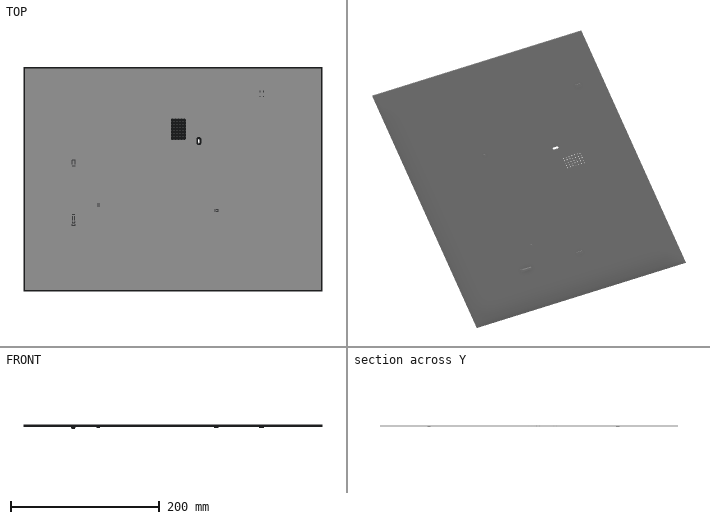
import cadquery as cq

PLATE_LENGTH = 400.0
PLATE_WIDTH = 300.0
PLATE_THICKNESS = 1.5
TOTAL_HEIGHT = 3.8

VENT_DIAMETER = 1.8
VENT_PITCH = 4.0
VENT_COLUMNS = 5
VENT_ROWS = 7
VENT_CENTER = (7.3, 67.1)

SLOT_WIDTH = 4.0
SLOT_LENGTH = 8.2
SLOT_CENTER = (34.7, 51.1)

LOW_HEIGHT = 1.0
MIDDLE_HEIGHT = 1.4
TALL_HEIGHT = TOTAL_HEIGHT - PLATE_THICKNESS

BLOCKS = [
    ((-134.0, -52.7), (2.8, 11.6), TALL_HEIGHT),
    ((-134.3, -59.5), (4.0, 5.0), LOW_HEIGHT),
    ((-134.3, 22.3), (4.0, 8.0), LOW_HEIGHT),
    ((-100.3, -34.2), (3.0, 2.4), LOW_HEIGHT),
    ((57.9, -41.7), (3.8, 2.4), MIDDLE_HEIGHT),
    ((119.0, 115.3), (4.8, 7.4), LOW_HEIGHT),
]


def make_plate():
    plate = cq.Workplane("XY").rect(PLATE_LENGTH, PLATE_WIDTH)
    return plate.extrude(-PLATE_THICKNESS)


def make_block(center, size, height):
    underside = cq.Workplane("XY").workplane(offset=-PLATE_THICKNESS)
    return underside.center(*center).rect(*size).extrude(-height)


def make_vents():
    grid = cq.Workplane("XY").center(*VENT_CENTER)
    grid = grid.rarray(VENT_PITCH, VENT_PITCH, VENT_COLUMNS, VENT_ROWS)
    return grid.circle(VENT_DIAMETER / 2).extrude(-PLATE_THICKNESS)


def make_slot():
    outline = cq.Workplane("XY").center(*SLOT_CENTER).slot2D(SLOT_LENGTH, SLOT_WIDTH, angle=90)
    return outline.extrude(-PLATE_THICKNESS)


body = make_plate()
for block_center, block_size, block_height in BLOCKS:
    body = body.union(make_block(block_center, block_size, block_height))

result = body.cut(make_vents()).cut(make_slot())